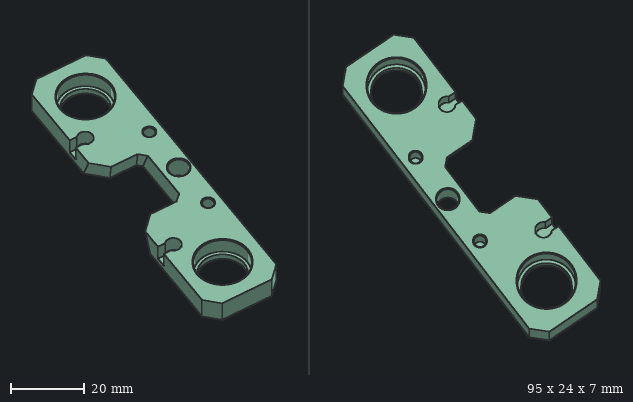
import cadquery as cq
import math

length = 95.0
width = 24.0
thickness = 7.0
corner_chamfer = 4.0

notch_half_width = 10.0
notch_end_y = 3.0
notch_inner_chamfer = 2.0
notch_mouth_chamfer = 4.5
wall_lean = 1.8

bore_spacing = 70.0
seat_diameter = 16.0
through_diameter = 14.0
seat_depth = 5.0
seat_lip = 0.3

hole_row_y = 8.0
center_hole_diameter = 6.0
center_hole_lip = 0.3
pin_spacing = 30.0
pin_diameter = 3.3
pin_depth = 5.0
pin_lip = 0.3

keyhole_spacing = 45.0
keyhole_y = -8.0
keyhole_diameter = 4.6
keyhole_slot_width = 3.0
keyhole_depth = 5.0

front_y = -width / 2


def notch_points(lean):
    """Outline of the notch with its walls moved outward by lean."""
    chamfer_shift = lean * math.sqrt(2)
    wall_x = notch_half_width + lean
    end_x = notch_half_width - notch_inner_chamfer + chamfer_shift
    mouth_x = notch_half_width + notch_mouth_chamfer + chamfer_shift
    right = [
        (end_x, notch_end_y),
        (wall_x, notch_end_y - (wall_x - end_x)),
        (wall_x, front_y + (mouth_x - wall_x)),
        (mouth_x, front_y),
    ]
    left = [(-x, y) for x, y in reversed(right)]
    return right + left


def make_notch():
    return (
        cq.Workplane("XY")
        .polyline(notch_points(wall_lean)).close()
        .workplane(offset=thickness)
        .polyline(notch_points(0)).close()
        .loft(ruled=True, combine=True)
    )


def hole_cutter(x, y, diameter, depth, lip):
    """Round cutter from the top face down, with a 45 degree chamfer at its rim."""
    cutter = cq.Workplane("XY", origin=(x, y, thickness)).circle(diameter / 2).extrude(-depth)
    rim = (
        cq.Workplane("XY", origin=(x, y, thickness))
        .circle(diameter / 2 + lip)
        .extrude(-lip, taper=45)
    )
    return cutter.union(rim)


def bearing_seat(x):
    through = cq.Workplane("XY", origin=(x, 0, 0)).circle(through_diameter / 2).extrude(thickness)
    return hole_cutter(x, 0, seat_diameter, seat_depth, seat_lip).union(through)


def keyhole(x):
    top = cq.Workplane("XY", origin=(x, keyhole_y, thickness))
    slot_length = keyhole_y - front_y
    slot = top.center(0, -slot_length / 2).rect(keyhole_slot_width, slot_length)
    pocket = cq.Workplane("XY", origin=(x, keyhole_y, thickness)).circle(keyhole_diameter / 2)
    return slot.extrude(-keyhole_depth).union(pocket.extrude(-keyhole_depth))


plate = cq.Workplane("XY").box(length, width, thickness, centered=(True, True, False))
plate = plate.edges("|Z").chamfer(corner_chamfer)
plate = plate.cut(make_notch())
plate = plate.cut(hole_cutter(0, hole_row_y, center_hole_diameter, thickness, center_hole_lip))

for side in (-1, 1):
    plate = plate.cut(bearing_seat(side * bore_spacing / 2))
    plate = plate.cut(hole_cutter(side * pin_spacing / 2, hole_row_y, pin_diameter, pin_depth, pin_lip))
    plate = plate.cut(keyhole(side * keyhole_spacing / 2))

result = plate